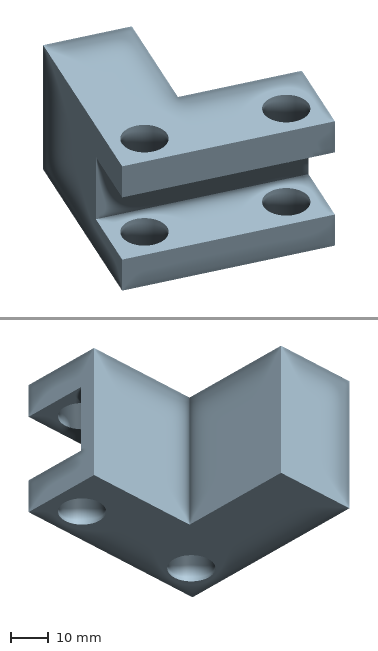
import cadquery as cq

leg_length = 60.0
leg_width = 25.0
height = 40.0
slot_width = height / 2
slot_depth = leg_length / 3
hole_diameter = 12.8

hole_inset = slot_depth / 2
hole_x = leg_length - hole_inset
hole_y_positions = (hole_inset, leg_length - hole_inset)


def make_l_block():
    """L-shaped block with its outer corner at +X, -Y."""
    x_leg = cq.Workplane("XY").box(leg_length, leg_width, height, centered=False)
    y_leg = (
        cq.Workplane("XY")
        .box(leg_width, leg_length, height, centered=False)
        .translate((leg_length - leg_width, 0, 0))
    )
    return x_leg.union(y_leg).clean()


def make_slot():
    """Mid-height slot open at the +X face and along the full Y length."""
    return (
        cq.Workplane("XY")
        .box(slot_depth, leg_length, slot_width, centered=False)
        .translate((leg_length - slot_depth, 0, (height - slot_width) / 2))
    )


def make_holes():
    """Vertical pin holes through both slot walls."""
    return (
        cq.Workplane("XY")
        .pushPoints([(hole_x, y) for y in hole_y_positions])
        .circle(hole_diameter / 2)
        .extrude(height)
    )


result = make_l_block().cut(make_slot()).cut(make_holes())